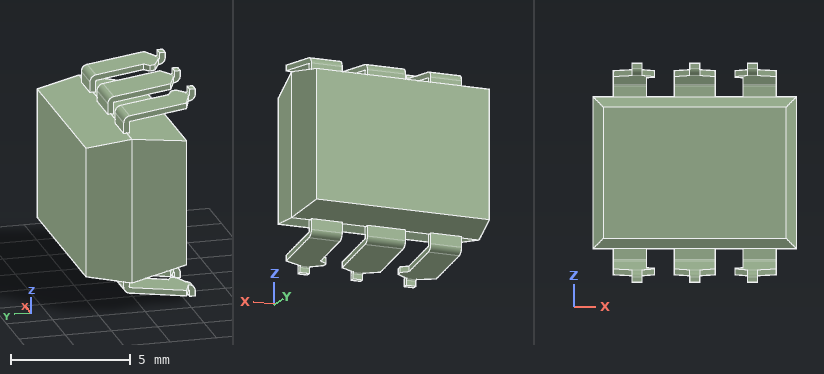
import cadquery as cq
import math


HOUSING_WIDTH = 8.51
HOUSING_HEIGHT = 6.36
BACK_DEPTH = 1.9
FRONT_DEPTH = 2.49
DRAFT_ANGLE = 10.0

SHEET = 0.25
BEND_RADIUS = 0.05
LEG_SLOPE = 8.0
SHOULDER_BEND_Z = 3.63
LEAD_TOP_Z = 4.58
LEAD_FRONT_Y = -3.19

LEAD_PITCH = 2.41
LEAD_WIDTH = 1.73
TIP_WIDTH = 0.43
OUTER_LEAD_X = 3.41
OUTER_SHANK_WIDTH = 1.4
WING_START_Y = -2.2
WING_FULL_Y = -2.38
TAPER_START_Y = -2.59
TAPER_END_Y = -2.885

OUTER_BEND_RADIUS = BEND_RADIUS + SHEET
BACK_FACE_Y = SHEET / 2


def frustum(depth):
    """Half housing that tapers from the parting plane towards -Y."""
    return cq.Workplane("XZ").rect(HOUSING_WIDTH, HOUSING_HEIGHT).extrude(depth, taper=DRAFT_ANGLE)


def make_housing():
    front_half = frustum(FRONT_DEPTH)
    back_half = frustum(BACK_DEPTH).mirror("XZ")
    return front_half.union(back_half)


def polar(center, radius, degrees):
    """Point at the given radius and angle around a centre."""
    angle = math.radians(degrees)
    return (center[0] + radius * math.cos(angle), center[1] + radius * math.sin(angle))


def make_strip():
    """Bent strip with a constant Y-Z profile, wide enough in X for all leads of one row."""
    slope = math.radians(LEG_SLOPE)
    shoulder_y = BACK_FACE_Y - OUTER_BEND_RADIUS
    tip_bend_y = LEAD_FRONT_Y + OUTER_BEND_RADIUS
    bend_rise = (
        OUTER_BEND_RADIUS + BEND_RADIUS + (shoulder_y - tip_bend_y) * math.sin(slope)
    ) / math.cos(slope)
    shoulder = (shoulder_y, SHOULDER_BEND_Z)
    tip_bend = (tip_bend_y, SHOULDER_BEND_Z + bend_rise)

    turn = 90 - LEG_SLOPE
    return (
        cq.Workplane("YZ", origin=(-OUTER_LEAD_X, 0, 0))
        .moveTo(BACK_FACE_Y, 0)
        .lineTo(*polar(shoulder, OUTER_BEND_RADIUS, 0))
        .threePointArc(
            polar(shoulder, OUTER_BEND_RADIUS, turn / 2), polar(shoulder, OUTER_BEND_RADIUS, turn)
        )
        .lineTo(*polar(tip_bend, BEND_RADIUS, 180 + turn))
        .threePointArc(
            polar(tip_bend, BEND_RADIUS, 180 + turn / 2), polar(tip_bend, BEND_RADIUS, 180)
        )
        .lineTo(LEAD_FRONT_Y + SHEET, LEAD_TOP_Z)
        .lineTo(LEAD_FRONT_Y, LEAD_TOP_Z)
        .lineTo(*polar(tip_bend, OUTER_BEND_RADIUS, 180))
        .threePointArc(
            polar(tip_bend, OUTER_BEND_RADIUS, 180 + turn / 2),
            polar(tip_bend, OUTER_BEND_RADIUS, 180 + turn),
        )
        .lineTo(*polar(shoulder, BEND_RADIUS, turn))
        .threePointArc(polar(shoulder, BEND_RADIUS, turn / 2), polar(shoulder, BEND_RADIUS, 0))
        .lineTo(BACK_FACE_Y - SHEET, 0)
        .close()
        .extrude(2 * OUTER_LEAD_X)
    )


def tip_points(left, right, tip_x):
    """Outline of a lead end, from the right edge round the tip to the left edge."""
    return [
        (right, TAPER_START_Y),
        (tip_x + TIP_WIDTH / 2, TAPER_END_Y),
        (tip_x + TIP_WIDTH / 2, LEAD_FRONT_Y),
        (tip_x - TIP_WIDTH / 2, LEAD_FRONT_Y),
        (tip_x - TIP_WIDTH / 2, TAPER_END_Y),
        (left, TAPER_START_Y),
    ]


def middle_outline():
    half_width = LEAD_WIDTH / 2
    return [
        (-half_width, BACK_FACE_Y),
        (half_width, BACK_FACE_Y),
        *tip_points(-half_width, half_width, 0),
    ]


def left_outline():
    """End lead at -X: a narrow shank with a wing towards the middle lead."""
    left = -OUTER_LEAD_X
    shank_right = left + OUTER_SHANK_WIDTH
    wing_right = left + LEAD_WIDTH
    return [
        (left, BACK_FACE_Y),
        (shank_right, BACK_FACE_Y),
        (shank_right, WING_START_Y),
        (wing_right, WING_FULL_Y),
        *tip_points(left, wing_right, -LEAD_PITCH),
    ]


def make_lead(outline, housing):
    """Upper lead: the bent strip trimmed to its outline, with its foot fitted to the housing."""
    blank = cq.Workplane("XY").polyline(outline).close().extrude(LEAD_TOP_Z)
    return make_strip().intersect(blank).cut(housing)


housing = make_housing()
middle_lead = make_lead(middle_outline(), housing)
left_lead = make_lead(left_outline(), housing)
right_lead = left_lead.mirror("YZ")

leads = []
for upper_lead in (left_lead, middle_lead, right_lead):
    lower_lead = upper_lead.mirror("XY")
    leads.append(upper_lead.val())
    leads.append(lower_lead.val())

result = cq.Compound.makeCompound([housing.val(), *leads])